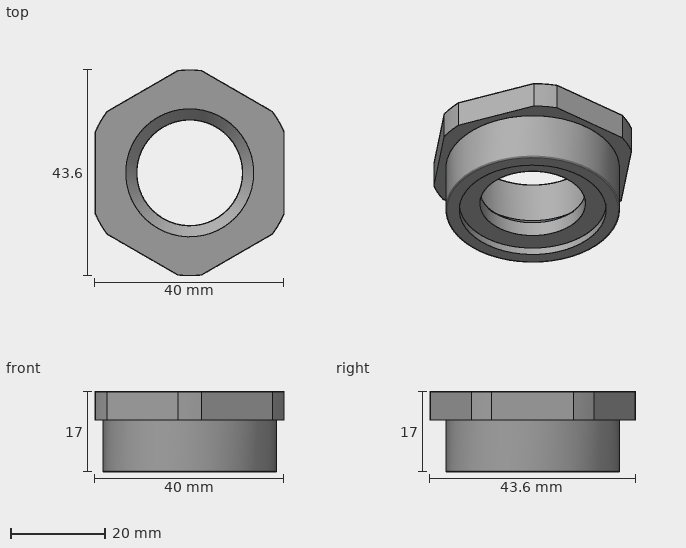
import cadquery as cq

HEAD_SIDES = 6
ACROSS_FLATS = 40.0
CORNER_DIAMETER = 43.6
HEAD_HEIGHT = 6.0

BODY_DIAMETER = 36.8
TOTAL_HEIGHT = 17.0
BODY_HEIGHT = TOTAL_HEIGHT - HEAD_HEIGHT
BODY_EDGE_RADIUS = 0.25

BORE_DIAMETER = 27.1
BORE_DEPTH = 9.5
THROAT_DIAMETER = 22.35
SEAT_HEIGHT = (BORE_DIAMETER - THROAT_DIAMETER) / 2

COUNTERBORE_DIAMETER = 31.1
COUNTERBORE_DEPTH = 1.7


def make_head():
    """Hexagon with two flats facing +X and -X and its corners turned round."""
    hexagon = (
        cq.Workplane("XY")
        .workplane(offset=BODY_HEIGHT)
        .polygon(HEAD_SIDES, ACROSS_FLATS, circumscribed=True)
        .extrude(HEAD_HEIGHT)
    )
    turned_blank = (
        cq.Workplane("XY")
        .workplane(offset=BODY_HEIGHT)
        .circle(CORNER_DIAMETER / 2)
        .extrude(HEAD_HEIGHT)
    )
    return hexagon.intersect(turned_blank)


def make_body():
    """Round body with a small rounding on its lower rim."""
    return (
        cq.Workplane("XY")
        .circle(BODY_DIAMETER / 2)
        .extrude(BODY_HEIGHT)
        .edges("<Z")
        .fillet(BODY_EDGE_RADIUS)
    )


def make_bore():
    """Bore, conical seat, throat and bottom counterbore as one revolved cutter."""
    bore_radius = BORE_DIAMETER / 2
    throat_radius = THROAT_DIAMETER / 2
    counterbore_radius = COUNTERBORE_DIAMETER / 2
    seat_top = TOTAL_HEIGHT - BORE_DEPTH
    seat_bottom = seat_top - SEAT_HEIGHT
    return (
        cq.Workplane("XZ")
        .moveTo(0, 0)
        .lineTo(counterbore_radius, 0)
        .lineTo(counterbore_radius, COUNTERBORE_DEPTH)
        .lineTo(throat_radius, COUNTERBORE_DEPTH)
        .lineTo(throat_radius, seat_bottom)
        .lineTo(bore_radius, seat_top)
        .lineTo(bore_radius, TOTAL_HEIGHT)
        .lineTo(0, TOTAL_HEIGHT)
        .close()
        .revolve()
    )


result = make_head().union(make_body()).cut(make_bore())